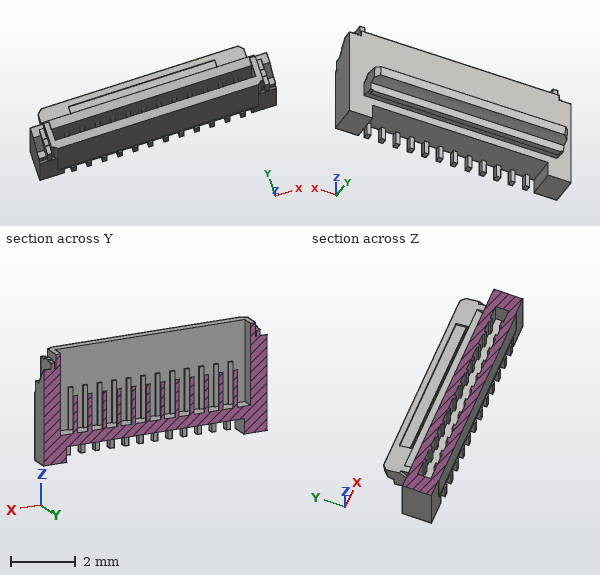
import cadquery as cq


half_length = 3.85
base_front = -0.97
height = 3.6
foot_gap_half = 3.05
foot_height = 0.51

ear_top = 3.15
ear_slope_back = -0.33
ear_slope_front = -0.685
ear_shelf = 2.62
ear_step_front = -0.9
ear_step_top = 2.28
ear_step_chamfer = base_front - ear_step_front

shell_half = 3.44
shell_shoulder_half = 3.37
panel_half = 3.265
panel_front = -0.99
panel_bottom = 0.67
back_wall_top = 3.34
side_wall_back = -0.1

slot_back = -0.29
slot_front = -0.715
slot_floor = 0.925

contact_count = 12
contact_pitch = 0.5
contact_width = 0.15
contact_proud = 0.027
contact_front = panel_front - contact_proud
tail_depth = 0.2
tail_bottom = 0.05
tail_top = 0.56
beam_top = 2.31
beam_reach = 0.06
beam_bevel = 0.31

tab_inner = 3.465
tab_outer = 3.61
tab_back = -0.185
tab_bottom = 2.55
tab_top = back_wall_top
tab_bump_back = -0.52
tab_bump_front = -0.75
tab_bump_height = 0.05

lever_half = 3.35
lever_end_bevel = 0.15
lever_tip = 0.88
lever_root_top = 1.51
lever_tip_top = 1.355
lever_tip_low = 0.84
lever_tip_bottom = 1.055
end_relief_crest = 0.285
end_relief_foot = (0.07, 1.3)
center_relief_crest = 0.24
center_relief_bend = (0.07, 1.37)
center_relief_foot = (0, 1.31)
center_relief_half = foot_gap_half
pocket_half = 2.38
pocket_back = 0.68
pocket_front = 0.33
pocket_front_rim = 0.28
pocket_depth = 0.08
belly_corner = (0.67, 1.01)
hook_root = (0.485, 0.95)
hook_back = 0.455
hook_front = 0.255
hook_end_bottom = 0.715
hook_step = 0.04
hook_rise = 0.02
lever_root_bottom = 0.8

embed = 0.08


def box(x0, x1, y0, y1, z0, z1):
    """Box between two opposite corners."""
    center = ((x0 + x1) / 2, (y0 + y1) / 2, (z0 + z1) / 2)
    return cq.Workplane("XY").box(abs(x1 - x0), abs(y1 - y0), abs(z1 - z0)).translate(center)


def side_prism(points, x0, x1):
    """Extrude a (Y, Z) outline from x0 to x1."""
    return cq.Workplane("YZ").polyline(points).close().extrude(x1 - x0).translate((x0, 0, 0))


def lever_top_at(y):
    """Height of the sloping top face of the lever."""
    return lever_root_top + (lever_tip_top - lever_root_top) * y / lever_tip


def make_housing():
    ear_outline = [
        (0, 0),
        (0, ear_top),
        (ear_slope_back, ear_top),
        (ear_slope_front, ear_shelf),
        (ear_step_front, ear_shelf),
        (ear_step_front, ear_step_top),
        (base_front, ear_step_top + ear_step_chamfer),
        (base_front, 0),
    ]
    shell_outline = [
        (-shell_half, 0),
        (-shell_half, ear_step_front),
        (-shell_shoulder_half, ear_step_front),
        (-panel_half, panel_front),
        (panel_half, panel_front),
        (shell_shoulder_half, ear_step_front),
        (shell_half, ear_step_front),
        (shell_half, 0),
    ]
    base = side_prism(ear_outline, -half_length, half_length)
    shell = (
        cq.Workplane("XY").workplane(offset=ear_step_top + ear_step_chamfer)
        .polyline(shell_outline).close()
        .extrude(height - ear_step_top - ear_step_chamfer)
    )
    panel = box(-panel_half, panel_half, panel_front, slot_front, panel_bottom, height)
    housing = base.union(shell).union(panel)

    housing = housing.cut(box(-half_length, half_length, side_wall_back, 0, back_wall_top, height))
    housing = housing.cut(box(-panel_half, panel_half, slot_back, 0, back_wall_top, height))
    housing = housing.cut(box(-panel_half, panel_half, slot_front, slot_back, slot_floor, height))
    return housing.cut(box(-foot_gap_half, foot_gap_half, panel_front, 0, 0, foot_height))


def make_contact(x):
    x0 = x - contact_width / 2
    x1 = x + contact_width / 2
    tail = box(x0, x1, contact_front, contact_front + tail_depth, tail_bottom, tail_top)
    front_beam = box(x0, x1, slot_front - embed, slot_front + beam_reach, slot_floor - embed, beam_top)
    back_beam = side_prism(
        [
            (slot_back + embed, slot_floor - embed),
            (slot_back + embed, beam_top),
            (slot_back, beam_top),
            (slot_back - beam_reach, beam_top - beam_bevel),
            (slot_back - beam_reach, slot_floor - embed),
        ],
        x0, x1,
    )
    return tail.union(front_beam).union(back_beam)


def make_tab():
    """Solder tab on the -X end."""
    plate = box(-tab_outer, -tab_inner, contact_front, tab_back, tab_bottom, tab_top)
    bump = box(-tab_outer, -tab_inner, tab_bump_front, tab_bump_back, tab_bottom, tab_top + tab_bump_height)
    return plate.union(bump)


def make_lever():
    outline = [
        (-embed, lever_top_at(-embed)),
        (lever_tip, lever_tip_top),
        (lever_tip_low, lever_tip_bottom),
        belly_corner,
        hook_root,
        (hook_back, hook_end_bottom),
        (hook_front, hook_end_bottom + hook_rise),
        (-embed, lever_root_bottom),
    ]
    lever = side_prism(outline, -lever_half, lever_half)

    hook_outline = [
        (hook_back, hook_end_bottom - hook_step),
        (hook_front, hook_end_bottom + hook_rise - hook_step),
        (hook_front, lever_root_bottom),
        (hook_back, lever_root_bottom),
    ]
    lever = lever.union(side_prism(hook_outline, -panel_half, panel_half))

    tip_middle = ((lever_tip + lever_tip_low) / 2, (lever_tip_top + lever_tip_bottom) / 2)
    for x in (-lever_half, lever_half):
        corner = cq.NearestToPointSelector((x, *tip_middle))
        lever = lever.edges(corner).chamfer(lever_end_bevel)

    def relief(crest, slope_points, x0, x1):
        relief_floor = slope_points[-1][1]
        points = [
            (crest, height),
            (crest, lever_top_at(crest)),
            *slope_points,
            (-embed, relief_floor),
            (-embed, height),
        ]
        return side_prism(points, x0, x1)

    center_slope = [center_relief_bend, center_relief_foot]
    lever = lever.cut(relief(end_relief_crest, [end_relief_foot], -lever_half, -panel_half))
    lever = lever.cut(relief(end_relief_crest, [end_relief_foot], panel_half, lever_half))
    lever = lever.cut(relief(center_relief_crest, center_slope, -center_relief_half, center_relief_half))

    pocket_outline = [
        (pocket_back, height),
        (pocket_back, lever_top_at(pocket_back) - pocket_depth),
        (pocket_front, lever_top_at(pocket_front) - pocket_depth),
        (pocket_front_rim, lever_top_at(pocket_front_rim)),
        (pocket_front_rim, height),
    ]
    return lever.cut(side_prism(pocket_outline, -pocket_half, pocket_half))


result = make_housing().union(make_lever())
for index in range(contact_count):
    result = result.union(make_contact((index - (contact_count - 1) / 2) * contact_pitch))
tab = make_tab()
result = result.union(tab).union(tab.mirror("YZ"))